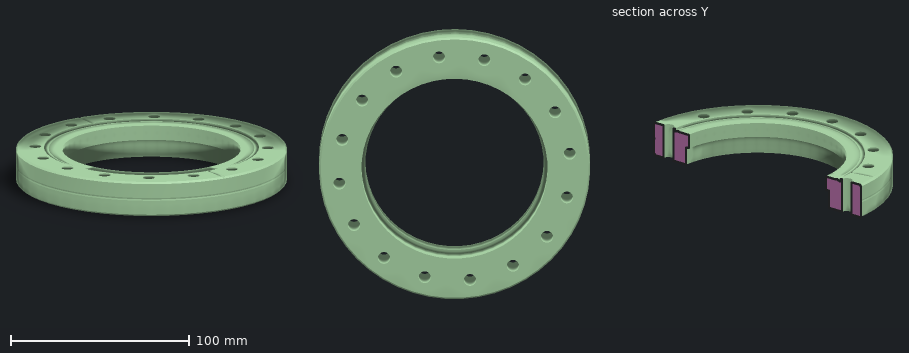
import cadquery as cq

outer_diameter = 152.0
thickness = 19.8
bore_diameter = 100.0
edge_chamfer = 1.0
outer_radius = outer_diameter / 2
bore_radius = bore_diameter / 2

recess_radius = 60.35
recess_depth = 1.6
knife_edge_radius = 57.75
knife_edge_depth = 0.65
inner_land_radius = 57.6
inner_land_depth = 1.2

socket_diameter = 104.4
socket_depth = 10.3
socket_radius = socket_diameter / 2

rim_groove_width = 1.6
rim_groove_depth = 0.2

bolt_count = 16
bolt_circle_diameter = 130.3
bolt_hole_diameter = 6.8

leak_groove_width = 2.35
leak_groove_depth = 0.6
leak_groove_angle = 180 / bolt_count
leak_groove_angles = (leak_groove_angle, leak_groove_angle + 180)


def arc_radius(chord, sagitta):
    """Radius of the arc that spans a chord and bulges from it by the sagitta."""
    return (chord**2 / 4 + sagitta**2) / (2 * sagitta)


def make_ring():
    """Revolve the flange section, given in (radius, height), about the Z axis."""
    groove_height = thickness / 2
    inner_land_height = thickness - inner_land_depth
    section = (
        cq.Workplane("XZ")
        .moveTo(socket_radius, 0)
        .lineTo(outer_radius - edge_chamfer, 0)
        .lineTo(outer_radius, edge_chamfer)
        .lineTo(outer_radius, groove_height - rim_groove_width / 2)
        .lineTo(outer_radius - rim_groove_depth, groove_height)
        .lineTo(outer_radius, groove_height + rim_groove_width / 2)
        .lineTo(outer_radius, thickness - edge_chamfer)
        .lineTo(outer_radius - edge_chamfer, thickness)
        .lineTo(recess_radius, thickness)
        .lineTo(recess_radius, thickness - recess_depth)
        .lineTo(knife_edge_radius, thickness - knife_edge_depth)
        .lineTo(inner_land_radius, inner_land_height)
        .lineTo(bore_radius, inner_land_height)
        .lineTo(bore_radius, socket_depth)
        .lineTo(socket_radius, socket_depth)
        .close()
    )
    return section.revolve(360, (0, 0, 0), (0, 1, 0))


def make_bolt_holes():
    """Cutters for through holes equally spaced on the bolt circle, the first on +X."""
    return (
        cq.Workplane("XY")
        .polarArray(bolt_circle_diameter / 2, 0, 360, bolt_count)
        .circle(bolt_hole_diameter / 2)
        .extrude(thickness)
    )


def make_leak_groove(angle):
    """Cylindrical cutter lying along a radius, from the knife edge out to the rim."""
    cutter_radius = arc_radius(leak_groove_width, leak_groove_depth)
    axis_height = thickness - leak_groove_depth + cutter_radius
    return (
        cq.Workplane("YZ", origin=(knife_edge_radius, 0, axis_height))
        .circle(cutter_radius)
        .extrude(outer_radius - knife_edge_radius)
        .rotate((0, 0, 0), (0, 0, 1), angle)
    )


result = make_ring().cut(make_bolt_holes())
for groove_angle in leak_groove_angles:
    result = result.cut(make_leak_groove(groove_angle))